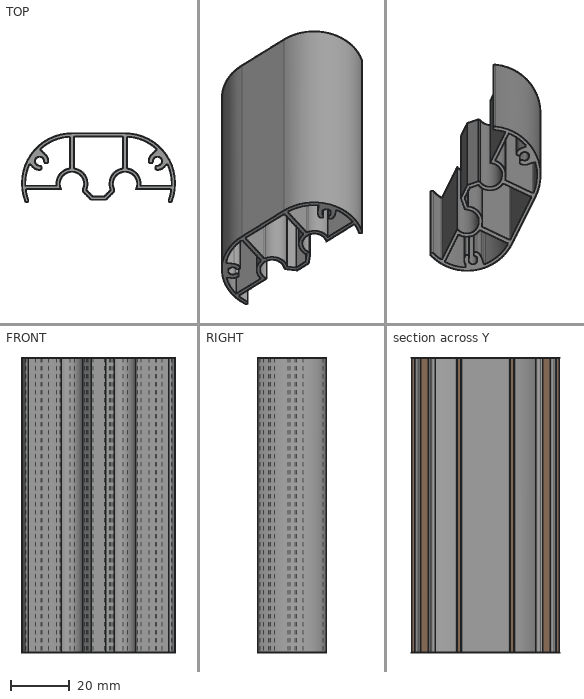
import cadquery as cq
import math

length = 100.0
width = 52.0
height = 23.4
wall = 1.2
arc_radius = 17.0
arc_x = width / 2 - arc_radius
leg_bottom = arc_radius - height

groove_x = arc_x
groove_y = -0.2
groove_radius = 4.1
web_thickness = 1.4
shelf_top = -0.8
shelf_bottom = shelf_top - wall

channel_bottom = -5.6
channel_floor_half = 2.5
channel_shoulder_y = -2.8

screw_x = 20.0
screw_y = 7.5
screw_radius = 1.5
screw_wall = 1.5
screw_outer = screw_radius + screw_wall

corner_fillet = 0.4


def prism(sketch):
    return sketch.close().extrude(length)


def box(x_min, x_max, y_min, y_max):
    plan = cq.Workplane("XY").center((x_min + x_max) / 2, (y_min + y_max) / 2)
    return plan.rect(x_max - x_min, y_max - y_min).extrude(length)


def disc(x, y, radius):
    return cq.Workplane("XY").center(x, y).circle(radius).extrude(length)


def both_sides(right):
    return right.union(right.mirror("YZ"))


def outer_skin():
    """Flat top, two big arcs and the legs below them, ending in round tips."""
    inner_radius = arc_radius - wall
    mid_radius = arc_radius - wall / 2
    tip_angle = math.asin((leg_bottom + wall / 2) / mid_radius)
    tip_x = arc_x + mid_radius * math.cos(tip_angle)
    tip_y = mid_radius * math.sin(tip_angle)
    outer_end_x = arc_x + arc_radius * math.cos(tip_angle)
    outer_end_y = arc_radius * math.sin(tip_angle)
    inner_end_x = arc_x + inner_radius * math.cos(tip_angle)
    inner_end_y = inner_radius * math.sin(tip_angle)
    walls = prism(
        cq.Workplane("XY")
        .moveTo(-outer_end_x, outer_end_y)
        .threePointArc((-arc_x - arc_radius, 0), (-arc_x, arc_radius))
        .lineTo(arc_x, arc_radius)
        .threePointArc((arc_x + arc_radius, 0), (outer_end_x, outer_end_y))
        .lineTo(inner_end_x, inner_end_y)
        .threePointArc((arc_x + inner_radius, 0), (arc_x, inner_radius))
        .lineTo(-arc_x, inner_radius)
        .threePointArc((-arc_x - inner_radius, 0), (-inner_end_x, inner_end_y))
    )
    return walls.union(both_sides(disc(tip_x, tip_y, wall / 2)))


def groove_mouth_half_width():
    return math.sqrt(groove_radius**2 - (shelf_bottom - groove_y) ** 2)


def channel(inset):
    """Bottom channel with 45 degree flanks; inset moves every face inwards."""
    mouth_x = groove_x - groove_mouth_half_width()
    flank_shift = inset * math.tan(math.pi / 8)
    side_x = mouth_x - inset
    floor_half = channel_floor_half - flank_shift
    floor_y = channel_bottom + inset
    side_y = channel_shoulder_y + flank_shift
    return prism(
        cq.Workplane("XY")
        .moveTo(-side_x, groove_y)
        .lineTo(-side_x, side_y)
        .lineTo(-floor_half, floor_y)
        .lineTo(floor_half, floor_y)
        .lineTo(side_x, side_y)
        .lineTo(side_x, groove_y)
    )


def screw_channel():
    """C-shaped screw channel opening at 45 degrees towards the inside, blended into the skin."""
    ring = disc(0, 0, screw_outer)
    root = box(0, 2 * screw_outer, -screw_outer, screw_outer)
    mouth = prism(
        cq.Workplane("XY")
        .lineTo(-screw_outer, screw_outer)
        .lineTo(-2 * screw_outer, 0)
        .lineTo(-screw_outer, -screw_outer)
    )
    body = ring.union(root).cut(disc(0, 0, screw_radius)).cut(mouth)
    lip_offset = (screw_radius + screw_wall / 2) / math.sqrt(2)
    for side in (-1, 1):
        body = body.union(disc(-lip_offset, side * lip_offset, screw_wall / 2))
    placed = body.rotate((0, 0, 0), (0, 0, 1), 45).translate((screw_x, screw_y, 0))
    return placed.intersect(disc(arc_x, 0, arc_radius - wall / 2))


def between_grooves_and_skin():
    """Shelves, groove walls, webs and bottom channel."""
    mouth_half = groove_mouth_half_width()
    shelf = box(groove_x + mouth_half, width / 2 - wall / 2, shelf_bottom, shelf_top)
    ring_outer = disc(groove_x, groove_y, groove_radius + wall)
    above_shelf = box(0, width / 2, shelf_bottom, arc_radius)
    web = box(
        groove_x - web_thickness / 2,
        groove_x + web_thickness / 2,
        groove_y + groove_radius,
        arc_radius - wall / 2,
    )
    walls = both_sides(ring_outer.intersect(above_shelf).union(shelf).union(web))
    grooves = both_sides(disc(groove_x, groove_y, groove_radius))
    chute = channel(0).cut(channel(wall))
    below_mouth = box(-width, width, channel_bottom, shelf_bottom)
    return walls.union(chute.intersect(below_mouth)).cut(grooves)


def screw_root_corners():
    """Points where the straight flanks of the right screw channel meet the inside of the skin."""
    diagonal = math.sqrt(2)
    sideways = (screw_y - (screw_x - arc_x)) / diagonal
    corners = []
    for offset in (sideways - screw_outer, sideways + screw_outer):
        along = math.sqrt((arc_radius - wall) ** 2 - offset**2)
        corners.append((arc_x + (along - offset) / diagonal, (along + offset) / diagonal))
    return corners


def rounded_corners(body):
    """Small fillets where webs, legs and screw channels meet the walls around them."""
    inner_radius = arc_radius - wall
    ring_radius = groove_radius + wall
    web_inner = groove_x - web_thickness / 2
    web_outer = groove_x + web_thickness / 2
    ring_y = groove_y + math.sqrt(ring_radius**2 - (web_thickness / 2) ** 2)
    corners = [
        (web_inner, inner_radius),
        (web_outer, math.sqrt(inner_radius**2 - (web_outer - arc_x) ** 2)),
        (web_inner, ring_y),
        (web_outer, ring_y),
        (arc_x + math.sqrt(inner_radius**2 - shelf_bottom**2), shelf_bottom),
    ] + screw_root_corners()
    reach = 0.1
    for x, y in corners:
        for side in (-1, 1):
            near = cq.selectors.BoxSelector(
                (side * x - reach, y - reach, 0), (side * x + reach, y + reach, length)
            )
            body = body.edges("|Z").edges(near).fillet(corner_fillet)
    return body


profile = outer_skin().union(between_grooves_and_skin()).union(both_sides(screw_channel())).clean()
result = rounded_corners(profile)